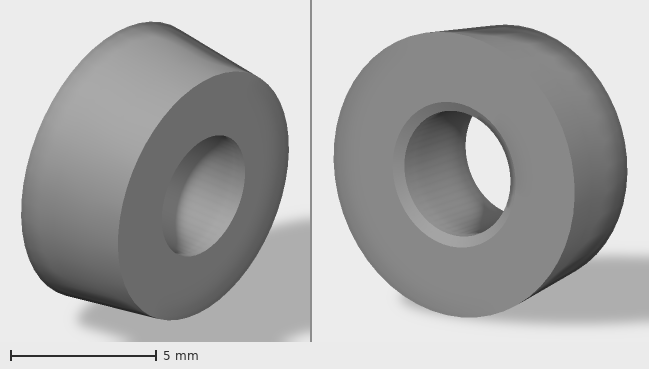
import math

import cadquery as cq

thickness = 3.97
large_diameter = 10.0
flank_angle = 7.0
bore_diameter = 4.4
chamfer_width = 0.35
chamfer_slope = 30.0

large_radius = large_diameter / 2
small_radius = large_radius - thickness * math.tan(math.radians(flank_angle))
bore_radius = bore_diameter / 2
chamfer_radius = bore_radius + chamfer_width
chamfer_depth = chamfer_width * math.tan(math.radians(chamfer_slope))


def revolve_about_x(outline):
    """Turn (x, radius) points into a solid of revolution about the X axis."""
    profile = cq.Workplane("XZ").polyline(outline).close()
    return profile.revolve(360, (0, 0, 0), (1, 0, 0))


ring_outline = [
    (0, chamfer_radius),
    (0, large_radius),
    (thickness, small_radius),
    (thickness, bore_radius),
    (chamfer_depth, bore_radius),
]

result = revolve_about_x(ring_outline)